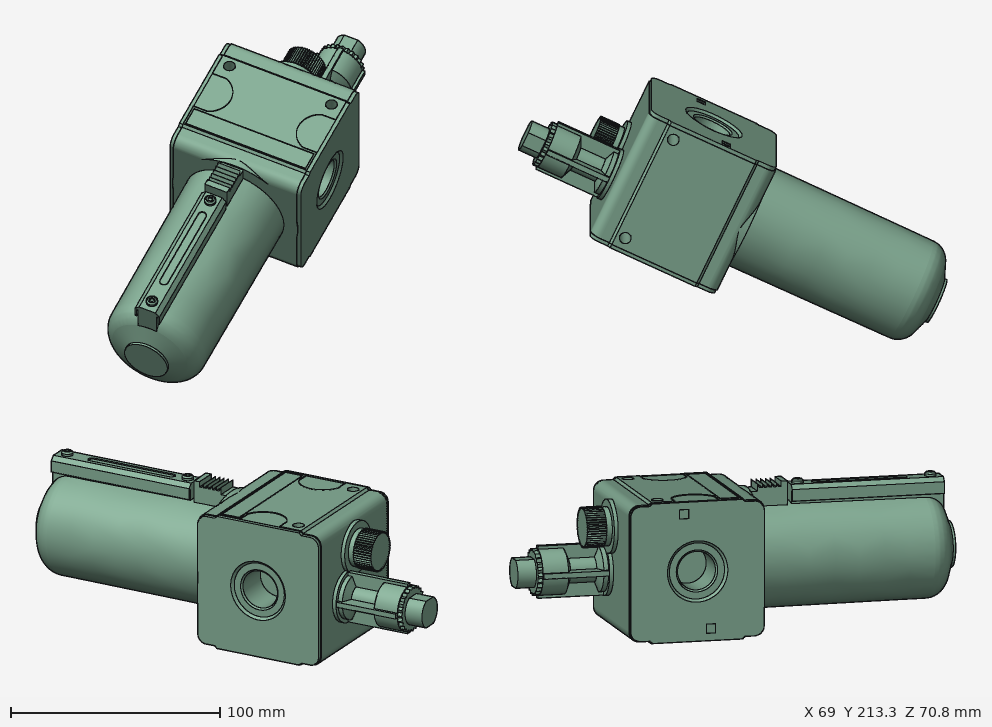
import cadquery as cq
import math


overall_height = 70.8
block_width = 69.0
block_half_y = 33.5
pad_half_z = block_width / 2
shoulder_half_z = 33.3
corner_radius = 5.1
pad_half_y = 22.5
pad_slope = 1.3
plate_thickness = 2.0
plate_inset = 0.53
core_half_x = block_width / 2 - plate_thickness
seat_radius = 33.0

hole_radius = 2.8
hole_x = 26.9
hole_y = 18.0

mark_depth = 0.5
panel_half_x = 31.5
panel_y_min = -21.5
panel_y_max = -12.0
scallop_radius = 11.5
scallop_half_y = 10.7
scallop_x = 29.5
square_size = 4.5
square_y = 6.6
square_z = 28.2

port_face_radius = 15.0
port_floor_radius = 13.7
port_face_depth = port_face_radius - port_floor_radius
port_mouth_radius = 10.2
port_radius = 9.4
port_chamfer_depth = port_mouth_radius - port_radius
port_depth = 19.2

base_root_y = block_half_y - corner_radius
base_radius = 13.0
base_y = 35.5

knob_z = 17.3
knob_radius = 9.8
knob_collar_radius = 9.4
knob_collar_y = 38.2
knob_y = 47.8
knob_teeth = 48
knob_tooth_depth = 0.6

sight_x = 8.5
sight_z = -5.0
sight_radius = 11.3
sight_foot_radius = 11.0
sight_neck_radius = 6.2
foot_y = 37.8
neck_start_y = 39.9
neck_end_y = 53.0
drum_start_y = 55.2
drum_end_y = 67.8
crown_y = 70.2
crown_teeth = 24
crown_tooth_depth = 1.0
fin_width = 25.4
fin_thickness = 2.5
nut_y = 79.3
nut_radius = 7.7
nut_flat_half_z = 6.8

bowl_start_radius = 25.8
bowl_end_radius = 25.4
bowl_bend_y = -120.3
shoulder_radius = 19.8
shoulder_y = -129.3
shoulder_arc_radius = 9.8
cap_radius = 11.3
cap_start_y = -132.7
bowl_end_y = -134.0

rider_x = -1.5
root_z = 17.0

latch_width = 11.7
latch_end_y = -51.6
latch_step_y = -37.0
latch_step_z = 32.0
latch_floor_z = 33.7
latch_tooth_z = 35.6
latch_lip_y = -48.6
latch_top_z = overall_height - pad_half_z
latch_teeth = 5

gauge_start_y = -54.0
gauge_top_z = 34.1
gauge_top_half = 4.3
gauge_bevel_z = 32.0
gauge_half = 6.5
gauge_skirt_z = 26.2
gauge_skirt_inner = 5.5
gauge_slit_z = 31.0
gauge_leg_half = 5.0
slot_start_y = -65.3
slot_end_y = -112.5
slot_width = 4.0
slot_depth = 0.6
screw_ys = (-58.2, -124.0)
screw_radius = 2.8
screw_top_z = 36.0
screw_chamfer = 0.9
screw_socket_radius = 1.3
screw_socket_depth = 1.0


def cylinder_y(radius, y_start, y_end, x=0, z=0):
    """Solid cylinder along Y."""
    circle = cq.Workplane("XZ", origin=(x, y_start, z)).circle(radius)
    return circle.extrude(y_start - y_end)


def box_between(x_range, y_range, z_range):
    """Box given by its lower and upper limit along each axis."""
    size = [high - low for low, high in (x_range, y_range, z_range)]
    corner = (x_range[0], y_range[0], z_range[0])
    return cq.Workplane("XY", origin=corner).box(*size, centered=False)


def toothed_disc(radius, depth, teeth, y_start, y_end, x=0, z=0):
    """Disc along Y with straight-sided triangular teeth around its rim."""
    points = []
    for i in range(2 * teeth):
        r = radius if i % 2 == 0 else radius - depth
        angle = math.pi * i / teeth
        points.append((r * math.cos(angle), r * math.sin(angle)))
    outline = cq.Workplane("XZ", origin=(x, y_start, z)).polyline(points).close()
    return outline.extrude(y_start - y_end)


def block_slab(half_x, inset):
    """Block cross-section with stepped pads and rounded corners, extruded along X."""
    half_y = block_half_y - inset
    slab = box_between(
        (-half_x, half_x), (-half_y, half_y), (inset - shoulder_half_z, shoulder_half_z - inset)
    ).edges("|X").fillet(corner_radius - inset)
    rise = pad_half_z - shoulder_half_z
    pad_top = pad_half_z - inset
    for side in (1, -1):
        pad = (
            cq.Workplane("YZ", origin=(-half_x, 0, 0))
            .moveTo(-pad_half_y - pad_slope, side * (pad_top - rise))
            .lineTo(-pad_half_y, side * pad_top)
            .lineTo(pad_half_y, side * pad_top)
            .lineTo(pad_half_y + pad_slope, side * (pad_top - rise))
            .lineTo(pad_half_y + pad_slope, 0)
            .lineTo(-pad_half_y - pad_slope, 0)
            .close()
            .extrude(2 * half_x)
        )
        slab = slab.union(pad)
    return slab


def pad_marks():
    """Shallow label panel and two side scallops cut into the +Z pad."""
    depth_range = (pad_half_z - mark_depth, pad_half_z)
    cutter = box_between((-panel_half_x, panel_half_x), (panel_y_min, panel_y_max), depth_range)
    for side in (1, -1):
        disc = (
            cq.Workplane("XY", origin=(side * scallop_x, 0, depth_range[0]))
            .circle(scallop_radius)
            .extrude(mark_depth)
        )
        strip = box_between((-core_half_x, core_half_x), (-scallop_half_y, scallop_half_y), depth_range)
        cutter = cutter.union(disc.intersect(strip))
    return cutter


def port_cutter():
    """Port cavity opening on the -X face: shallow face recess and blind bore."""
    face = -block_width / 2
    floor = face + port_face_depth
    return (
        cq.Workplane("XY")
        .moveTo(face, 0)
        .lineTo(face, port_face_radius)
        .lineTo(floor, port_floor_radius)
        .lineTo(floor, port_mouth_radius)
        .lineTo(floor + port_chamfer_depth, port_radius)
        .lineTo(face + port_depth, port_radius)
        .lineTo(face + port_depth, 0)
        .close()
        .revolve(360, (0, 0, 0), (1, 0, 0))
    )


def side_squares():
    """Two small square recesses on the -X face."""
    face = -block_width / 2
    return (
        cq.Workplane("YZ", origin=(face, 0, 0))
        .pushPoints([(square_y, square_z), (-square_y, -square_z)])
        .rect(square_size, square_size)
        .extrude(mark_depth)
    )


def make_block():
    block = block_slab(core_half_x, 0).union(block_slab(block_width / 2, plate_inset))
    block = block.union(cylinder_y(seat_radius, -block_half_y, 0))
    mount_holes = (
        cq.Workplane("XY", origin=(0, 0, -pad_half_z))
        .pushPoints([(-hole_x, hole_y), (hole_x, hole_y)])
        .circle(hole_radius)
        .extrude(2 * pad_half_z)
    )
    port = port_cutter()
    return (
        block.cut(mount_holes)
        .cut(pad_marks())
        .cut(port)
        .cut(port.mirror("YZ"))
        .cut(side_squares())
    )


def make_knob():
    """Knurled adjusting knob on its round base and collar."""
    base = cylinder_y(base_radius, base_root_y, base_y, 0, knob_z)
    collar = cylinder_y(knob_collar_radius, base_y, knob_collar_y, 0, knob_z)
    grip = toothed_disc(knob_radius, knob_tooth_depth, knob_teeth, knob_collar_y, knob_y, 0, knob_z)
    return base.union(collar).union(grip)


def make_sight_feed():
    """Waisted sight dome with cross fins, toothed crown and a two-flat nut."""
    base = cylinder_y(base_radius, base_root_y, base_y, sight_x, sight_z)
    dome = (
        cq.Workplane("XY", origin=(sight_x, 0, sight_z))
        .moveTo(0, base_y)
        .lineTo(sight_foot_radius, base_y)
        .lineTo(sight_foot_radius, foot_y)
        .lineTo(sight_neck_radius, neck_start_y)
        .lineTo(sight_neck_radius, neck_end_y)
        .lineTo(sight_radius, drum_start_y)
        .lineTo(sight_radius, drum_end_y)
        .lineTo(0, drum_end_y)
        .close()
        .revolve(360, (0, 0, 0), (0, 1, 0))
    )
    base_face = cq.Workplane("XZ", origin=(sight_x, base_y, sight_z))
    flat_fin = base_face.rect(fin_width, fin_thickness).extrude(base_y - drum_end_y)
    upright_fin = base_face.rect(fin_thickness, fin_width).extrude(base_y - drum_end_y)
    crown = toothed_disc(
        sight_radius, crown_tooth_depth, crown_teeth, drum_end_y, crown_y, sight_x, sight_z
    )
    flats = (
        cq.Workplane("XZ", origin=(sight_x, crown_y, sight_z))
        .rect(2 * nut_radius, 2 * nut_flat_half_z)
        .extrude(crown_y - nut_y)
    )
    nut = cylinder_y(nut_radius, crown_y, nut_y, sight_x, sight_z).intersect(flats)
    return base.union(dome).union(flat_fin).union(upright_fin).union(crown).union(nut)


def make_housing():
    return make_block().union(make_knob()).union(make_sight_feed())


def bowl_shell():
    """Slightly tapered round bowl with a rounded shoulder, a cone and an end cap."""
    return (
        cq.Workplane("XY")
        .moveTo(0, -block_half_y)
        .lineTo(bowl_start_radius, -block_half_y)
        .lineTo(bowl_end_radius, bowl_bend_y)
        .radiusArc((shoulder_radius, shoulder_y), shoulder_arc_radius)
        .lineTo(cap_radius, cap_start_y)
        .lineTo(cap_radius, bowl_end_y)
        .lineTo(0, bowl_end_y)
        .close()
        .revolve(360, (0, 0, 0), (0, 1, 0))
    )


def make_latch():
    """Latch block with a row of grip teeth and a raised end lip."""
    x_range = (rider_x - latch_width / 2, rider_x + latch_width / 2)
    latch = box_between(x_range, (latch_step_y, -block_half_y), (root_z, latch_step_z))
    latch = latch.union(box_between(x_range, (latch_lip_y, latch_step_y), (root_z, latch_floor_z)))
    latch = latch.union(box_between(x_range, (latch_end_y, latch_lip_y), (root_z, latch_top_z)))
    pitch = (latch_step_y - latch_lip_y) / latch_teeth
    for i in range(latch_teeth):
        y = latch_step_y - i * pitch
        tooth = (
            cq.Workplane("YZ", origin=(x_range[0], 0, 0))
            .moveTo(y, latch_floor_z)
            .lineTo(y, latch_tooth_z)
            .lineTo(y - pitch / 2, latch_floor_z)
            .close()
            .extrude(latch_width)
        )
        latch = latch.union(tooth)
    return latch


def gauge_strip():
    """Level gauge: a central leg under a bevelled cover with thin side skirts."""
    half_outline = [
        (gauge_top_half, gauge_top_z),
        (gauge_half, gauge_bevel_z),
        (gauge_half, gauge_skirt_z),
        (gauge_skirt_inner, gauge_skirt_z),
        (gauge_skirt_inner, gauge_slit_z),
        (gauge_leg_half, gauge_slit_z),
        (gauge_leg_half, root_z),
    ]
    mirrored = [(-x, z) for x, z in reversed(half_outline)]
    outline = cq.Workplane("XZ", origin=(rider_x, gauge_start_y, 0)).polyline(half_outline + mirrored)
    return outline.close().extrude(gauge_start_y - shoulder_y)


def gauge_slot():
    return (
        cq.Workplane("XY", origin=(rider_x, (slot_start_y + slot_end_y) / 2, gauge_top_z - slot_depth))
        .slot2D(slot_start_y - slot_end_y, slot_width, 90)
        .extrude(slot_depth)
    )


def gauge_screw(y):
    """Chamfered screw head with a hexagon socket."""
    head = (
        cq.Workplane("XY", origin=(rider_x, y, gauge_top_z))
        .circle(screw_radius)
        .extrude(screw_top_z - gauge_top_z)
        .faces(">Z")
        .chamfer(screw_chamfer)
    )
    socket = (
        cq.Workplane("XY", origin=(rider_x, y, screw_top_z - screw_socket_depth))
        .polygon(6, 2 * screw_socket_radius)
        .extrude(screw_socket_depth)
    )
    return head.cut(socket)


def make_gauge():
    gauge = gauge_strip().cut(gauge_slot())
    for y in screw_ys:
        gauge = gauge.union(gauge_screw(y))
    return gauge


def make_bowl():
    return bowl_shell().union(make_latch()).union(make_gauge())


housing = make_housing()
bowl = make_bowl()
result = cq.Compound.makeCompound([housing.solids().val(), bowl.solids().val()])